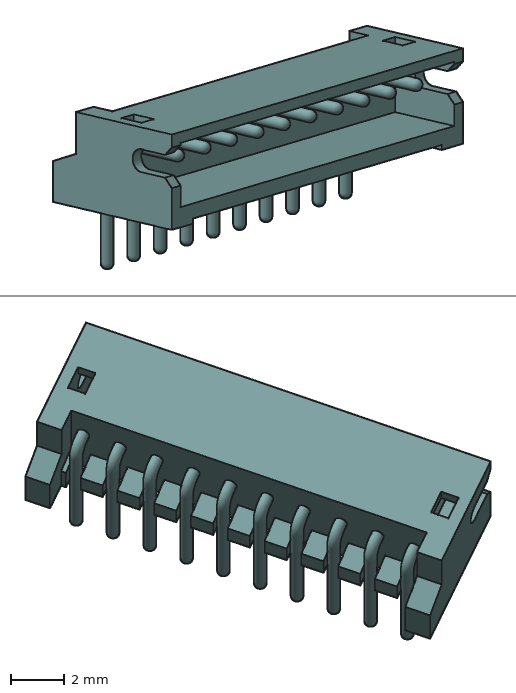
import cadquery as cq
import math


length = 16.5
depth = 6.0
height = 3.73
half_length = length / 2

pin_count = 10
pitch = length / (pin_count + 1)
pin_diameter = 0.5
pin_radius = pin_diameter / 2
pin_leg_x = 1.4
pin_axis_z = 2.43
pin_bend_radius = 0.5
pin_front_x = 5.21
overall_height = 6.4
pin_bottom_z = height - overall_height
pin_positions = [(i - (pin_count - 1) / 2) * pitch for i in range(pin_count)]

ear_width = 1.0
ear_top_x = 1.15
ear_slope_low_z = 1.6
ear_slope_high_z = 2.1
recess_x = 2.11

comb_x = 1.1
comb_front_top_z = 0.99
comb_back_top_z = 1.19
comb_gap = 0.6
foot_width = pitch - comb_gap / 2
underside_step = 0.2

end_wall = 0.5
roof = 0.43
floor_top_z = 0.8
cavity_back_x = 3.02
slot_end_x = 4.03
slot_height = 0.89
slot_mouth_chamfer = 0.35
window_end_x = 4.03


def prism_along_y(points, y_start, y_end):
    """Extrude an XZ outline from y_start to y_end."""
    plane = cq.Workplane("XZ", origin=(0, y_start, 0))
    return plane.polyline(points).close().extrude(y_start - y_end)


def block(x_range, y_range, z_range):
    """Box spanning the given ranges."""
    sizes = [high - low for low, high in (x_range, y_range, z_range)]
    corner = (x_range[0], y_range[0], z_range[0])
    return cq.Workplane("XY").box(*sizes, centered=False).translate(corner)


def make_shell():
    """Outer housing with ears, the rear recess, the raised underside and the comb."""
    ear_outline = [
        (0, 0),
        (depth, 0),
        (depth, height),
        (ear_top_x, height),
        (ear_top_x, ear_slope_high_z),
        (0, ear_slope_low_z),
    ]
    shell = prism_along_y(ear_outline, -half_length, half_length)

    recess_half = half_length - ear_width
    shell = shell.cut(block((0, recess_x), (-recess_half, recess_half), (0, height)))

    comb_outline = [
        (comb_x, 0),
        (recess_x, 0),
        (recess_x, comb_back_top_z),
        (comb_x, comb_front_top_z),
    ]
    shell = shell.union(prism_along_y(comb_outline, -recess_half, recess_half))
    for y in pin_positions:
        gap_range = (y - comb_gap / 2, y + comb_gap / 2)
        shell = shell.cut(block((0, recess_x), gap_range, (0, height)))

    step_half = half_length - foot_width
    return shell.cut(block((0, depth), (-step_half, step_half), (0, underside_step)))


def make_cavity():
    """Space inside the housing, open at the +X face."""
    inner_half = half_length - end_wall
    return block((cavity_back_x, depth), (-inner_half, inner_half), (floor_top_z, height - roof))


def make_end_slot():
    """Round-ended slot with a flared mouth, passing through both end walls."""
    slot_radius = slot_height / 2
    low_z = pin_axis_z - slot_radius
    high_z = pin_axis_z + slot_radius
    flare_x = depth - slot_mouth_chamfer
    return (
        cq.Workplane("XZ")
        .moveTo(slot_end_x + slot_radius, low_z)
        .lineTo(flare_x, low_z)
        .lineTo(depth, low_z - slot_mouth_chamfer)
        .lineTo(depth, high_z + slot_mouth_chamfer)
        .lineTo(flare_x, high_z)
        .lineTo(slot_end_x + slot_radius, high_z)
        .threePointArc((slot_end_x, pin_axis_z), (slot_end_x + slot_radius, low_z))
        .close()
        .extrude(half_length, both=True)
    )


def make_roof_window(side):
    """Rectangular window through the roof beside the end wall on the given side."""
    y_range = sorted((side * (half_length - end_wall), side * (half_length - foot_width)))
    return block((cavity_back_x, window_end_x), y_range, (height - roof, height))


def make_pin(y):
    """Round pin with domed ends: a leg pointing down, a quarter bend and a contact pointing to +X."""
    bend_x = pin_leg_x + pin_bend_radius
    bend_z = pin_axis_z - pin_bend_radius
    bend_mid = pin_bend_radius * math.sqrt(0.5)
    leg_end_z = pin_bottom_z + pin_radius
    contact_end_x = pin_front_x - pin_radius
    path = (
        cq.Workplane("XZ", origin=(0, y, 0))
        .moveTo(pin_leg_x, leg_end_z)
        .lineTo(pin_leg_x, bend_z)
        .threePointArc((bend_x - bend_mid, bend_z + bend_mid), (bend_x, pin_axis_z))
        .lineTo(contact_end_x, pin_axis_z)
    )
    pin = cq.Workplane("XY", origin=(pin_leg_x, y, leg_end_z)).circle(pin_radius).sweep(path)
    dome = cq.Workplane("XY").sphere(pin_radius)
    leg_dome = dome.translate((pin_leg_x, y, leg_end_z))
    contact_dome = dome.rotate((0, 0, 0), (0, 1, 0), 90).translate((contact_end_x, y, pin_axis_z))
    return pin.union(leg_dome).union(contact_dome)


result = make_shell().cut(make_cavity()).cut(make_end_slot())
for side in (-1, 1):
    result = result.cut(make_roof_window(side))
for y in pin_positions:
    result = result.union(make_pin(y))